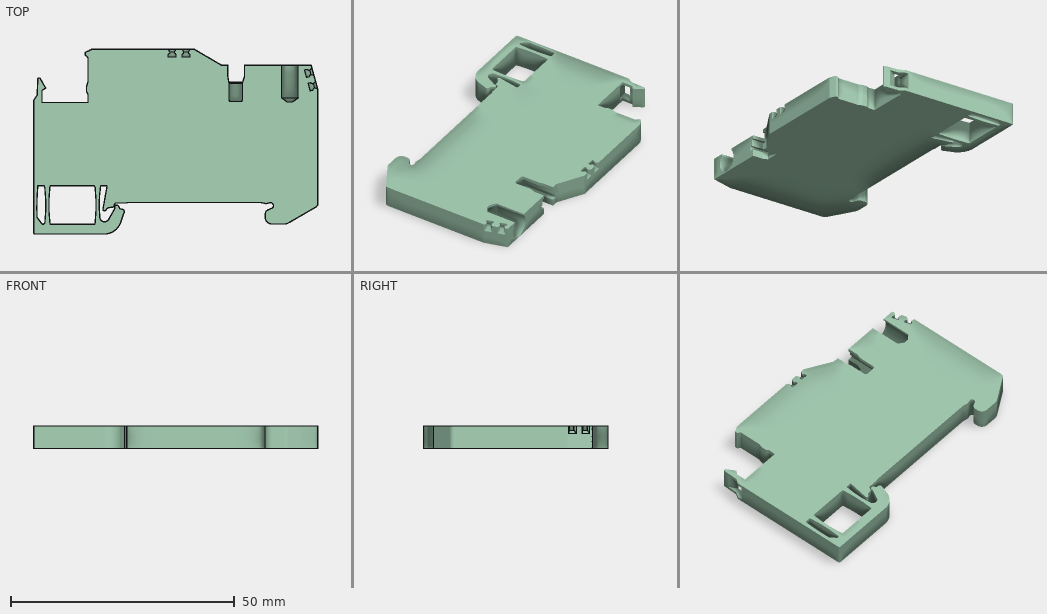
import cadquery as cq
import math

LENGTH = 63.5
HEIGHT = 41.3
THICKNESS = 5.1

SHELF_Y = 37.74
NOTCH_FLOOR_Y = 29.45
NOTCH_WALL_X = 12.15
RAIL_Y = 7.07
FOOT_CAVITY_TOP = 10.8
FOOT_CAVITY_BOTTOM = 2.28
END_TOP_X = 62.0
END_LOW_Y = 32.3
SLOPE_START_X = 35.9
SLOPE_END_X = 42.0
ARM_INNER_X = 1.93

GATE_LEFT = 43.4
GATE_RIGHT = 47.07
GATE_TAPER_Y = 35.2
GATE_FLOOR_Y = 33.95
POCKET_LEFT = 43.62
POCKET_RIGHT = 46.65
POCKET_BOTTOM_Y = 29.63
POCKET_DEPTH = 3.5
POCKET_CORNER_RADIUS = 0.5
POCKET_LIP = 0.25
GATE_UPPER_UNDERCUT = (0.8, 0.55)
GATE_LOWER_UNDERCUT = (2.4, 1.1)

SOCKET_X = 57.23
SOCKET_RADIUS = 2.6
SOCKET_AXIS_Z = 2.8
SOCKET_MOUTH_WIDTH = 3.7
SOCKET_END_Y = 30.45
SOCKET_CONE_LENGTH = 2.6
SOCKET_MOUTH_TIP_WIDTH = 1.1
SOCKET_MOUTH_TIP_LENGTH = 0.95

MARKER_PITCH = 3.09
MARKER_TOP_X = 30.95
MARKER_END_OFFSET = 1.5
MARKER_WIDTH = 1.75
MARKER_NECK_WIDTH = 1.05
MARKER_RAMP_LENGTH = 0.62
MARKER_NECK_END = 0.85
MARKER_SHOULDER = 1.15
MARKER_LENGTH = 1.75
MARKER_DEPTH = 1.0
MARKER_RIM_DEPTH = 1.75

ARM_WINDOW_WIDTH = 3.7
ARM_WINDOW_TOP_Y = 33.4
ARM_WINDOW_BOTTOM_Y = 28.85
ARM_WINDOW_BREAK_Y = 31.4
ARM_TIP_OUTER_X = 0.93


def body():
    """Plate cut to the outline, starting at the lower left and running clockwise."""
    outline = (
        cq.Workplane("XY")
        .moveTo(0.4, 0)
        .threePointArc((0.12, 0.12), (0, 0.4))
        .lineTo(0, 29.86)
        .lineTo(0.77, 31.07)
        .lineTo(ARM_TIP_OUTER_X, 34.6)
        .threePointArc((1.2, 34.9), (1.52, 34.72))
        .lineTo(2.75, 32.63)
        .lineTo(ARM_INNER_X, 32.1)
        .lineTo(ARM_INNER_X, NOTCH_FLOOR_Y)
        .lineTo(NOTCH_WALL_X, NOTCH_FLOOR_Y)
        .lineTo(NOTCH_WALL_X, 31.2)
        .lineTo(11.8, 31.85)
        .lineTo(11.8, 33.0)
        .lineTo(NOTCH_WALL_X, 34.1)
        .lineTo(NOTCH_WALL_X, 39.4)
        .lineTo(11.52, 40.0)
        .lineTo(11.52, 40.6)
        .lineTo(12.97, HEIGHT)
        .lineTo(SLOPE_START_X, HEIGHT)
        .lineTo(SLOPE_END_X, SHELF_Y)
        .lineTo(GATE_LEFT, SHELF_Y)
        .lineTo(GATE_LEFT, GATE_TAPER_Y)
        .lineTo(POCKET_LEFT, GATE_FLOOR_Y)
        .lineTo(POCKET_RIGHT, GATE_FLOOR_Y)
        .lineTo(GATE_RIGHT, GATE_TAPER_Y)
        .lineTo(GATE_RIGHT, SHELF_Y)
        .lineTo(END_TOP_X, SHELF_Y)
        .lineTo(LENGTH, END_LOW_Y)
        .lineTo(LENGTH, 6.8)
        .threePointArc((63.35, 6.35), (63.05, 6.05))
        .lineTo(56.75, 2.4)
        .lineTo(56.25, 2.26)
        .lineTo(53.2, 2.26)
        .threePointArc((52.15, 2.7), (51.7, 3.7))
        .lineTo(51.7, 4.4)
        .threePointArc((51.95, 5.15), (52.6, 5.55))
        .lineTo(53.2, 5.83)
        .threePointArc((53.53, 6.55), (52.8, 7.0))
        .lineTo(51.9, 6.8)
        .lineTo(50.6, RAIL_Y)
        .lineTo(20.9, RAIL_Y)
        .lineTo(20.7, 6.92)
        .lineTo(18.25, 6.92)
        .lineTo(17.85, 6.05)
        .lineTo(16.8, 5.9)
        .lineTo(16.25, 5.6)
        .threePointArc((15.8, 5.2), (15.5, 5.75))
        .lineTo(16.4, FOOT_CAVITY_TOP)
        .lineTo(15.0, FOOT_CAVITY_TOP)
        .threePointArc((14.68, 6.3), (14.85, 3.5))
        .threePointArc((15.8, 2.8), (16.8, 3.4))
        .lineTo(18.1, 5.7)
        .lineTo(18.1, 6.2)
        .threePointArc((18.65, 6.5), (19.05, 6.2))
        .lineTo(19.3, 5.7)
        .lineTo(19.9, 5.6)
        .threePointArc((20.22, 5.3), (20.2, 4.75))
        .lineTo(19.4, 2.4)
        .threePointArc((18.05, 0.75), (15.9, 0))
        .close()
    )
    return outline.extrude(THICKNESS)


def foot_window():
    """Nearly rectangular window whose side walls bow outwards."""
    middle_y = (FOOT_CAVITY_TOP + FOOT_CAVITY_BOTTOM) / 2
    return (
        cq.Workplane("XY")
        .moveTo(3.7, FOOT_CAVITY_BOTTOM)
        .threePointArc((3.45, middle_y), (3.7, FOOT_CAVITY_TOP))
        .lineTo(13.5, FOOT_CAVITY_TOP)
        .lineTo(13.72, 10.5)
        .threePointArc((13.92, middle_y), (13.7, FOOT_CAVITY_BOTTOM))
        .close()
        .extrude(THICKNESS)
    )


def foot_slot():
    """Narrow slot along the left edge of the foot."""
    return (
        cq.Workplane("XY")
        .moveTo(1.9, FOOT_CAVITY_BOTTOM)
        .lineTo(0.78, 3.8)
        .threePointArc((0.78, 7.0), (0.98, FOOT_CAVITY_TOP))
        .lineTo(2.35, FOOT_CAVITY_TOP)
        .lineTo(2.5, 10.3)
        .threePointArc((2.7, 5.9), (2.5, 2.5))
        .lineTo(2.3, FOOT_CAVITY_BOTTOM)
        .close()
        .extrude(THICKNESS)
    )


def gate_pocket():
    """Blind pocket that carries the through-notch on, with a bevelled lip at its floor."""
    width = POCKET_RIGHT - POCKET_LEFT
    floor_z = THICKNESS - POCKET_DEPTH
    pocket = (
        cq.Workplane("XY", origin=(0, 0, floor_z))
        .moveTo(POCKET_LEFT, GATE_FLOOR_Y)
        .lineTo(POCKET_LEFT, POCKET_BOTTOM_Y)
        .lineTo(POCKET_RIGHT, POCKET_BOTTOM_Y)
        .lineTo(POCKET_RIGHT, GATE_FLOOR_Y)
        .close()
        .extrude(POCKET_DEPTH)
        .edges("|Z and <Y")
        .fillet(POCKET_CORNER_RADIUS)
    )
    lip = (
        cq.Workplane("YZ", origin=(POCKET_LEFT, 0, 0))
        .moveTo(GATE_FLOOR_Y, floor_z)
        .lineTo(GATE_FLOOR_Y - POCKET_LIP, floor_z)
        .lineTo(GATE_FLOOR_Y, floor_z - POCKET_LIP)
        .close()
        .extrude(width)
    )
    return pocket.union(lip)


def gate_undercut(start_depth, overhang):
    """Chamber that widens the gate on both sides, from a given depth to the pocket floor."""
    width = GATE_RIGHT - GATE_LEFT + 2 * overhang
    return (
        cq.Workplane("XY", origin=(0, 0, THICKNESS - POCKET_DEPTH))
        .moveTo((GATE_LEFT + GATE_RIGHT) / 2, (SHELF_Y + POCKET_BOTTOM_Y) / 2)
        .rect(width, SHELF_Y - POCKET_BOTTOM_Y)
        .extrude(POCKET_DEPTH - start_depth)
    )


def socket():
    """Drilled hole along Y with a conical end, opened to the upper face by a narrower mouth."""
    bore = (
        cq.Workplane("XY", origin=(SOCKET_X, 0, SOCKET_AXIS_Z))
        .moveTo(0, SHELF_Y)
        .lineTo(SOCKET_RADIUS, SHELF_Y)
        .lineTo(SOCKET_RADIUS, SOCKET_END_Y)
        .lineTo(0, SOCKET_END_Y - SOCKET_CONE_LENGTH)
        .close()
        .revolve(360, (0, 0, 0), (0, 1, 0))
    )
    half_width = SOCKET_MOUTH_WIDTH / 2
    half_tip = SOCKET_MOUTH_TIP_WIDTH / 2
    mouth_end_y = SOCKET_END_Y - SOCKET_MOUTH_TIP_LENGTH
    mouth = (
        cq.Workplane("XY", origin=(SOCKET_X, 0, SOCKET_AXIS_Z))
        .moveTo(-half_width, SHELF_Y)
        .lineTo(-half_width, SOCKET_END_Y)
        .lineTo(-half_tip, mouth_end_y)
        .lineTo(half_tip, mouth_end_y)
        .lineTo(half_width, SOCKET_END_Y)
        .lineTo(half_width, SHELF_Y)
        .close()
        .extrude(THICKNESS - SOCKET_AXIS_Z)
    )
    return bore.union(mouth)


def marker_slot(x, y, turn):
    """Dovetail slot opening at (x, y); with no turn it runs in the -Y direction."""
    half_width = MARKER_WIDTH / 2
    half_neck = MARKER_NECK_WIDTH / 2
    slot = (
        cq.Workplane("XY")
        .moveTo(-half_width, 0)
        .lineTo(-half_neck, -MARKER_RAMP_LENGTH)
        .lineTo(-half_neck, -MARKER_NECK_END)
        .lineTo(-half_width, -MARKER_SHOULDER)
        .lineTo(-half_width, -MARKER_LENGTH)
        .lineTo(half_width, -MARKER_LENGTH)
        .lineTo(half_width, -MARKER_SHOULDER)
        .lineTo(half_neck, -MARKER_NECK_END)
        .lineTo(half_neck, -MARKER_RAMP_LENGTH)
        .lineTo(half_width, 0)
        .close()
        .extrude(-MARKER_RIM_DEPTH)
    )
    envelope = (
        cq.Workplane("YZ", origin=(-half_width, 0, 0))
        .moveTo(-MARKER_LENGTH, 0)
        .lineTo(-MARKER_LENGTH, -MARKER_DEPTH)
        .lineTo(-MARKER_RAMP_LENGTH, -MARKER_DEPTH)
        .lineTo(0, -MARKER_RIM_DEPTH)
        .lineTo(0, 0)
        .close()
        .extrude(MARKER_WIDTH)
    )
    return (
        slot.intersect(envelope)
        .rotate((0, 0, 0), (0, 0, 1), turn)
        .translate((x, y, THICKNESS))
    )


def arm_window():
    """Opening through the latch arm, with a floor that slopes down behind the arm."""
    floor_slope = (ARM_INNER_X - ARM_TIP_OUTER_X) / (ARM_WINDOW_TOP_Y - ARM_WINDOW_BREAK_Y)
    floor_end_x = ARM_INNER_X + floor_slope * (ARM_WINDOW_BREAK_Y - ARM_WINDOW_BOTTOM_Y)
    return (
        cq.Workplane("XY", origin=(0, 0, (THICKNESS - ARM_WINDOW_WIDTH) / 2))
        .moveTo(0, ARM_WINDOW_BOTTOM_Y)
        .lineTo(0, ARM_WINDOW_TOP_Y)
        .lineTo(ARM_TIP_OUTER_X, ARM_WINDOW_TOP_Y)
        .lineTo(floor_end_x, ARM_WINDOW_BOTTOM_Y)
        .close()
        .extrude(ARM_WINDOW_WIDTH)
    )


result = body()
cutters = (
    foot_window(),
    foot_slot(),
    gate_pocket(),
    gate_undercut(*GATE_UPPER_UNDERCUT),
    gate_undercut(*GATE_LOWER_UNDERCUT),
    socket(),
    arm_window(),
)
for cutter in cutters:
    result = result.cut(cutter)

end_drop = SHELF_Y - END_LOW_Y
end_run = LENGTH - END_TOP_X
end_length = math.hypot(end_run, end_drop)
end_turn = -math.degrees(math.atan2(end_drop, end_run))
for index in range(2):
    step = index * MARKER_PITCH
    along = (MARKER_END_OFFSET + step) / end_length
    result = result.cut(marker_slot(MARKER_TOP_X + step, HEIGHT, 0))
    result = result.cut(
        marker_slot(END_TOP_X + along * end_run, SHELF_Y - along * end_drop, end_turn)
    )